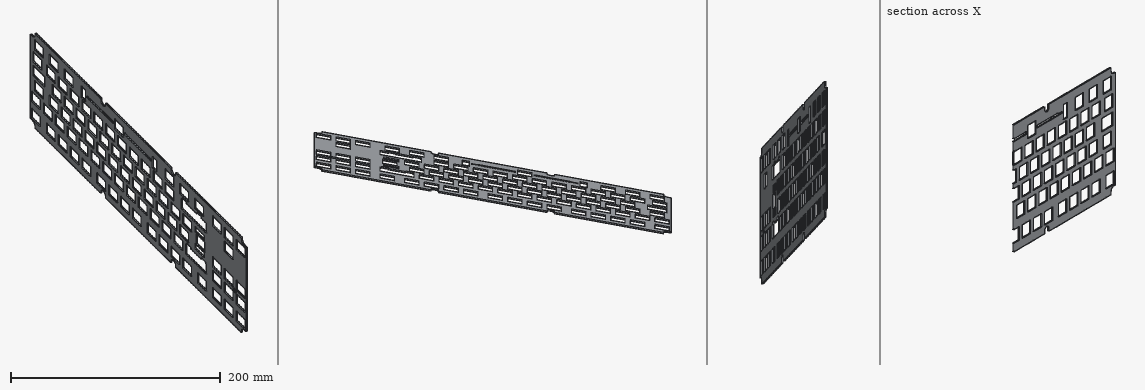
import cadquery as cq

plate_width = 346.61
plate_height = 132.01
plate_thickness = 1.5
outer_round = 0.5

notch_width = 7.2
notch_depth = 6.53
notch_offset = 56.3
corner_cut = 7.45
corner_cut_round = 4.5

key_unit = 19.05
layout_units = 18.25
key_hole = 14.0
hole_corner_round = 0.5

stab_slot_width = 7.0
stab_slot_long_side = 9.0
stab_slot_short_side = 6.0
space_slot_short_side = 6.7
short_stab_spacing = 23.88
space_stab_spacing = 6 * key_unit

channel_inner = 8.9
channel_taper_start = 44.2
channel_taper_end = 45.5
channel_outer = 51.6
channel_bottom = -1.45
channel_top = 1.4
channel_end_top = 0.3

access_hole_diameter = 5.0

space_row = 2.625
shift_row = 1.625
home_row = 0.625
tab_row = -0.375
number_row = -1.375
function_row = -2.625
enter_height = (home_row + tab_row) / 2

nav_columns = [15.75, 16.75, 17.75]
space_column = 7.5
enter_column = 14.375
shift_column = 13.625
backspace_column = 14.0


def run(first, count):
    """Columns of neighbouring one-unit keys."""
    return [first + i for i in range(count)]


single_keys = {
    space_row: [0.75, 2.0, 3.25, space_column, 11.75, 13.0, 14.25] + nav_columns,
    shift_row: [0.625] + run(1.75, 11) + [nav_columns[1]],
    home_row: run(2.25, 12),
    enter_height: [enter_column],
    tab_row: [0.75] + run(2.0, 12) + nav_columns,
    number_row: run(0.5, 13) + nav_columns,
    function_row: [0.5] + run(1.75, 4) + run(6.0, 4) + run(10.25, 4) + [14.5] + nav_columns,
}

wide_keys = [
    (home_row, 0.625, 0.875),
    (shift_row, 13.125, 14.5),
    (number_row, 13.5, 14.5),
]


def column_x(column):
    return (column - layout_units / 2) * key_unit


def row_z(row):
    return row * key_unit


def box(x_min, x_max, z_min, z_max):
    """Block through the full plate thickness."""
    return (
        cq.Workplane("XZ")
        .center((x_min + x_max) / 2, (z_min + z_max) / 2)
        .rect(x_max - x_min, z_max - z_min)
        .extrude(plate_thickness / 2, both=True)
    )


def make_plate():
    plate = box(-plate_width / 2, plate_width / 2, -plate_height / 2, plate_height / 2)
    corner_block = box(-corner_cut, corner_cut, -corner_cut, corner_cut)
    corner_block = corner_block.edges("|Y").fillet(corner_cut_round)
    for side_x in (-1, 1):
        for side_z in (-1, 1):
            corner = (side_x * plate_width / 2, 0, side_z * plate_height / 2)
            plate = plate.cut(corner_block.translate(corner))
    notch = (
        cq.Workplane("XZ")
        .slot2D(2 * notch_depth, notch_width, 90)
        .extrude(plate_thickness / 2, both=True)
    )
    for side_x in (-1, 1):
        for side_z in (-1, 1):
            plate = plate.cut(notch.translate((side_x * notch_offset, 0, side_z * plate_height / 2)))
    return plate.edges("|Y").edges("<X or >X or <Z or >Z").fillet(outer_round)


def key_opening(row, first_column, last_column):
    half = key_hole / 2
    opening = box(
        column_x(first_column) - half,
        column_x(last_column) + half,
        row_z(row) - half,
        row_z(row) + half,
    )
    return opening.edges("|Y").fillet(hole_corner_round)


def stab_slots(row, column, spacing, turn, short_side=stab_slot_short_side):
    """Pair of slots with the long side towards +Z, turned about the key centre."""
    half = stab_slot_width / 2
    slot = box(-half, half, -short_side, stab_slot_long_side)
    slot = slot.edges("|Y").fillet(hole_corner_round)
    pair = slot.translate((-spacing / 2, 0, 0)).union(slot.translate((spacing / 2, 0, 0)))
    pair = pair.rotate((0, 0, 0), (0, 1, 0), turn)
    return pair.translate((column_x(column), 0, row_z(row)))


def wire_channels():
    channel = (
        cq.Workplane("XZ")
        .moveTo(channel_inner, channel_bottom)
        .lineTo(channel_outer, channel_bottom)
        .lineTo(channel_outer, channel_end_top)
        .lineTo(channel_taper_end, channel_end_top)
        .lineTo(channel_taper_start, channel_top)
        .lineTo(channel_inner, channel_top)
        .close()
        .extrude(plate_thickness / 2, both=True)
        .edges("|Y")
        .fillet(hole_corner_round)
    )
    pair = channel.union(channel.mirror("YZ"))
    return pair.translate((column_x(space_column), 0, row_z(space_row)))


def access_hole():
    between_rows = (tab_row + number_row) / 2
    between_columns = (nav_columns[1] + nav_columns[2]) / 2
    return (
        cq.Workplane("XZ")
        .center(column_x(between_columns), row_z(between_rows))
        .circle(access_hole_diameter / 2)
        .extrude(plate_thickness / 2, both=True)
    )


openings = [key_opening(row, column, column) for row, columns in single_keys.items() for column in columns]
openings += [key_opening(row, first, last) for row, first, last in wide_keys]
openings += [
    stab_slots(shift_row, shift_column, short_stab_spacing, 0),
    stab_slots(number_row, backspace_column, short_stab_spacing, 0),
    stab_slots(enter_height, enter_column, short_stab_spacing, -90),
    stab_slots(space_row, space_column, space_stab_spacing, 180, space_slot_short_side),
    wire_channels(),
    access_hole(),
]

result = make_plate()
for opening in openings:
    result = result.cut(opening)